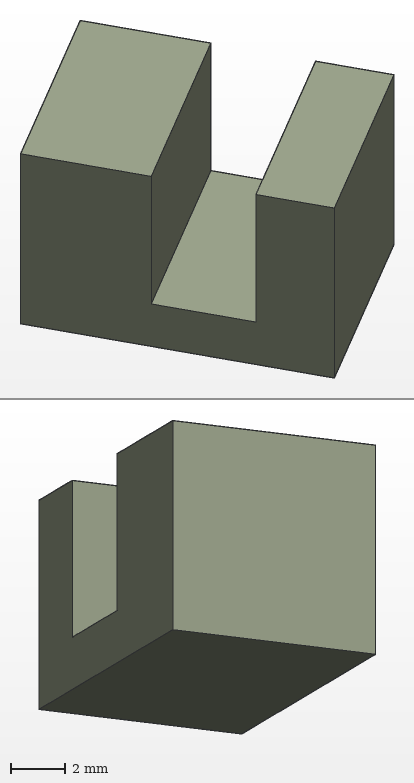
import cadquery as cq

length = 12.0
depth = 8.2
height = 8.0

left_wall = 5.0
slot_width = 4.0
floor_thickness = 2.0
slot_height = height - floor_thickness


def make_block():
    """Solid block with one corner at the origin."""
    return cq.Workplane("XY").box(length, depth, height, centered=False)


def make_slot():
    """Rectangular slot that runs the full depth of the block."""
    slot = cq.Workplane("XY").box(slot_width, depth, slot_height, centered=False)
    return slot.translate((left_wall, 0, floor_thickness))


result = make_block().cut(make_slot())